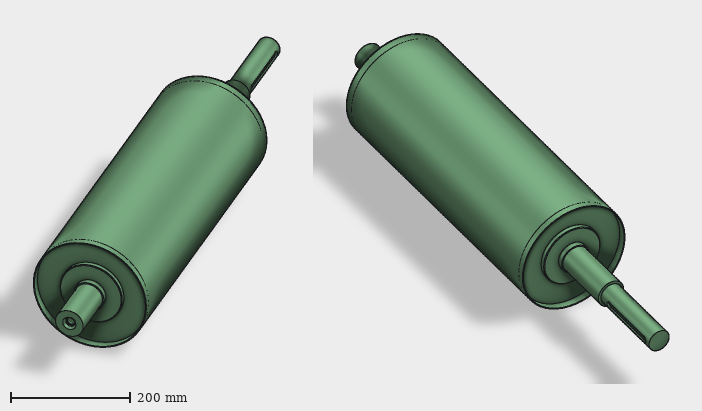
import cadquery as cq
import math

total_length = 910.0
front_journal_length = 94.0
drum_length = 550.0
rear_journal_length = 116.5

drum_diameter = 204.0
drum_bore = 200.0
hub_diameter = 112.0
collar_diameter = 55.0
journal_diameter = 50.0
drive_end_diameter = 40.0

recess_depth = 14.0
hub_height = 9.0
hub_chamfer = 1.4

collar_overhang = 5.5

hole_diameter = 14.0
counterbore_diameter = 17.0
countersink_diameter = 24.0
countersink_angle = 60.0
counterbore_depth = 9.0
hole_depth = 27.0

key_width = 12.0
key_depth = 5.0
key_end_margin = 11.0
key_shoulder_margin = 18.0

drum_front = front_journal_length
drum_rear = drum_front + drum_length
drive_end_start = drum_rear + rear_journal_length


def cylinder(diameter, start, end):
    """Solid cylinder on the Y axis between two stations."""
    plane = cq.Workplane("XZ", origin=(0, start, 0))
    return plane.circle(diameter / 2).extrude(start - end)


def make_drum():
    """Thin-rimmed drum with a recess and a hub at both ends."""
    drum = cylinder(drum_diameter, drum_front, drum_rear)
    floor_front = drum_front + recess_depth
    floor_rear = drum_rear - recess_depth
    drum = drum.cut(cylinder(drum_bore, drum_front, floor_front))
    drum = drum.cut(cylinder(drum_bore, floor_rear, drum_rear))
    hub = cylinder(hub_diameter, floor_front - hub_height, floor_rear + hub_height)
    hub = hub.faces("<Y or >Y").chamfer(hub_chamfer)
    return drum.union(hub)


def make_shaft():
    """Through shaft with a reduced drive end and a collar beyond each drum end."""
    shaft = cylinder(journal_diameter, 0, drive_end_start)
    shaft = shaft.union(cylinder(drive_end_diameter, drive_end_start, total_length))
    collar_front = drum_front - collar_overhang
    collar_rear = drum_rear + collar_overhang
    return shaft.union(cylinder(collar_diameter, collar_front, collar_rear))


def make_centre_hole():
    """Blind centre hole with a countersunk mouth and a short counterbore."""
    hole_radius = hole_diameter / 2
    mouth_radius = countersink_diameter / 2
    bore_radius = counterbore_diameter / 2
    countersink_depth = (mouth_radius - bore_radius) / math.tan(math.radians(countersink_angle / 2))
    profile = [
        (0, 0),
        (mouth_radius, 0),
        (bore_radius, countersink_depth),
        (bore_radius, counterbore_depth),
        (hole_radius, counterbore_depth),
        (hole_radius, hole_depth),
        (0, hole_depth),
    ]
    return cq.Workplane("XY").polyline(profile).close().revolve(360, (0, 0, 0), (0, 1, 0))


def make_keyway():
    """Round-ended slot cutter, sunk from the +X side."""
    key_start = drive_end_start + key_shoulder_margin
    key_end = total_length - key_end_margin
    floor = drive_end_diameter / 2 - key_depth
    plane = cq.Workplane("YZ", origin=(floor, (key_start + key_end) / 2, 0))
    return plane.slot2D(key_end - key_start, key_width).extrude(drive_end_diameter)


result = make_drum().union(make_shaft()).cut(make_centre_hole()).cut(make_keyway())